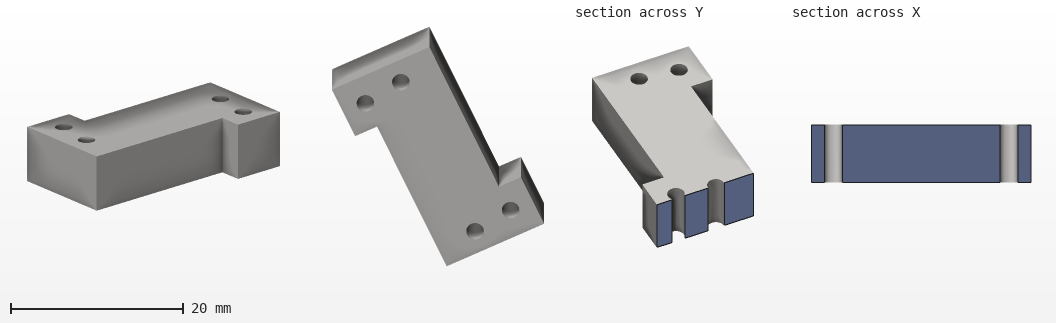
import cadquery as cq

length = 25.4
width = 15.25
thickness = 6.73

web_width = 9.65
tab_length = 6.35

hole_diameter = 2.03
center_hole_y = 10.15
tab_hole_y = 9.52

half_length = length / 2
half_width = width / 2
half_web = web_width / 2
tab_inner_y = half_length - tab_length
tab_hole_x = half_web


def with_opposites(points):
    """Add the same points turned half a turn about the part's center."""
    return points + [(-x, -y) for x, y in points]


half_outline = [
    (-half_web, half_length),
    (half_width, half_length),
    (half_width, tab_inner_y),
    (half_web, tab_inner_y),
]
body = cq.Workplane("XY").polyline(with_opposites(half_outline)).close().extrude(thickness)

hole_centers = with_opposites([(0, center_hole_y), (tab_hole_x, tab_hole_y)])
holes = cq.Workplane("XY").pushPoints(hole_centers).circle(hole_diameter / 2).extrude(thickness)

result = body.cut(holes)